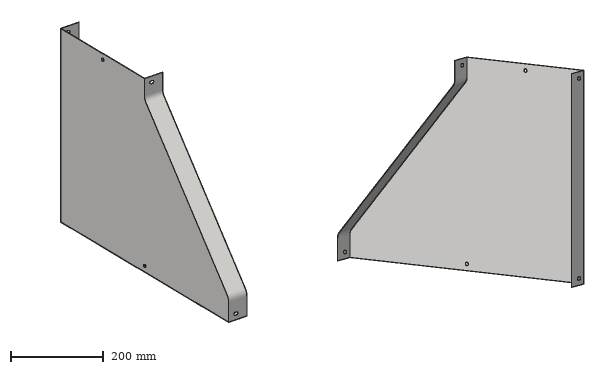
import cadquery as cq

width = 600.0
depth = 50.0
height = 468.0
thickness = 1.0

top_width = width / 2
slope_bottom = 57.5
slope_top = 417.5
concave_radius = 18.0
convex_radius = 24.0

hole_diameter = 7.0
hole_edge_distance = 15.0
slot_length = 10.0
slot_depth_position = 20.0


def round_bend(blank, x, z, radius):
    """Round the corner that runs along Y through the given X and Z."""
    corner = cq.selectors.NearestToPointSelector((x, depth / 2, z))
    return blank.edges("|Y").edges(corner).fillet(radius)


def solid_blank():
    """Solid envelope of the folded sheet, with both bends rounded."""
    outline = [
        (0, 0),
        (width, 0),
        (width, slope_bottom),
        (top_width, slope_top),
        (top_width, height),
        (0, height),
    ]
    blank = cq.Workplane("XZ").polyline(outline).close().extrude(-depth)
    blank = round_bend(blank, top_width, slope_top, concave_radius)
    return round_bend(blank, width, slope_bottom, convex_radius)


def folded_sheet():
    """Sheet shell open at the back, top and bottom."""
    return solid_blank().faces(">Y or >Z or <Z").shell(-thickness)


def plate_holes():
    """Round holes centred along the top and bottom edges of the plate."""
    centres = [
        (width / 2, hole_edge_distance),
        (top_width / 2, height - hole_edge_distance),
    ]
    return cq.Workplane("XZ").pushPoints(centres).circle(hole_diameter / 2).extrude(-depth)


def flange_slots():
    """Slots through the upright flanges at both ends of their height."""
    centres = [
        (slot_depth_position, hole_edge_distance),
        (slot_depth_position, height - hole_edge_distance),
    ]
    return cq.Workplane("YZ").pushPoints(centres).slot2D(slot_length, hole_diameter).extrude(width)


result = folded_sheet().cut(plate_holes()).cut(flange_slots())